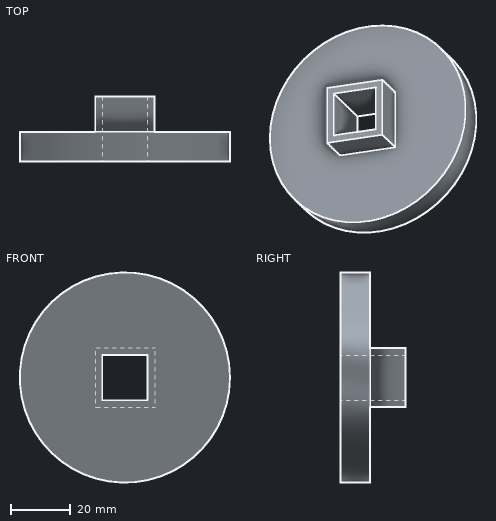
import cadquery as cq

disc_diameter = 71.0
disc_thickness = 10.0

total_depth = 22.0
hub_width = 20.0
bore_width = 15.2
hub_height = total_depth - disc_thickness


def make_disc():
    """Round plate with its outer face on the plane Y = 0, thickened toward +Y."""
    return cq.Workplane("XZ").circle(disc_diameter / 2).extrude(-disc_thickness)


def add_hub(body):
    """Centred square hub rising from the +Y face of the disc."""
    hub = (
        cq.Workplane("XZ", origin=(0, disc_thickness, 0))
        .rect(hub_width, hub_width)
        .extrude(-hub_height)
    )
    return body.union(hub)


def cut_bore(body):
    """Centred square bore through the full depth of the part."""
    bore = cq.Workplane("XZ").rect(bore_width, bore_width).extrude(-total_depth)
    return body.cut(bore)


result = cut_bore(add_hub(make_disc()))